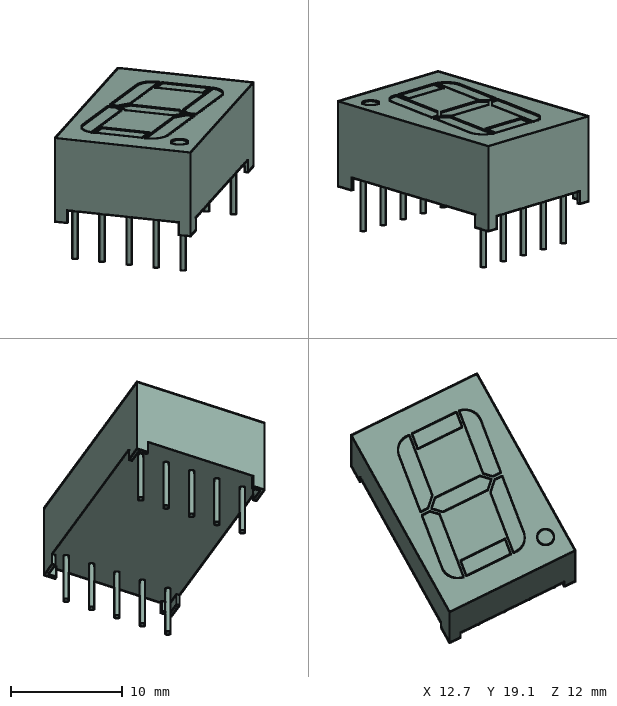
import cadquery as cq
import math

CASE_WIDTH = 12.7
CASE_LENGTH = 19.05
CASE_HEIGHT = 8.0
FOOT_HEIGHT = 1.2
FOOT_WIDTH = 1.1
FOOT_LENGTH = 1.7
FOOT_WALL = 0.3

TOTAL_HEIGHT = 12.0
PIN_DIAMETER = 0.5
PIN_PITCH = 2.53
PINS_PER_ROW = 5
ROW_SPACING = 15.24

RECESS_DEPTH = 0.1
DIGIT_CENTER_X = -0.2
DIGIT_HEIGHT = 14.29
DIGIT_WIDTH = 8.12
LEAN = math.tan(math.radians(7.8))
CORNER_RADIUS = 1.5
BAR_THICKNESS = 1.52
SIDE_WIDTH = 1.55
UPRIGHT_GAP = 0.27
SPLIT_GAP = 0.35
MIDDLE_BAR_LENGTH = 6.05
TIP_GAP = 0.42

POINT_DIAMETER = 1.5
POINT_X = 4.6

half_height = DIGIT_HEIGHT / 2
half_width = DIGIT_WIDTH / 2
side_inner = half_width - SIDE_WIDTH
underside_z = FOOT_HEIGHT - CASE_HEIGHT


def leaning(offset, y):
    """Point at height y on the slanted line that crosses the digit's middle at offset."""
    return (offset + LEAN * y, y)


def prism(points):
    """Extrude a digit outline from the recess floor up to the top face."""
    return (
        cq.Workplane("XY", origin=(DIGIT_CENTER_X, 0, -RECESS_DEPTH))
        .polyline(points)
        .close()
        .extrude(RECESS_DEPTH)
    )


def make_case():
    block = cq.Workplane("XY").box(
        CASE_WIDTH, CASE_LENGTH, CASE_HEIGHT, centered=(True, True, False)
    ).translate((0, 0, -CASE_HEIGHT))
    clearances = (
        (CASE_WIDTH, CASE_LENGTH - 2 * FOOT_LENGTH),
        (CASE_WIDTH - 2 * FOOT_WIDTH, CASE_LENGTH),
        (CASE_WIDTH - 2 * FOOT_WALL, CASE_LENGTH - 2 * FOOT_WALL),
    )
    for width, length in clearances:
        clearance = cq.Workplane("XY", origin=(0, 0, -CASE_HEIGHT)).rect(width, length)
        block = block.cut(clearance.extrude(FOOT_HEIGHT))
    return block


def make_pins():
    return (
        cq.Workplane("XY", origin=(0, 0, underside_z))
        .rarray(PIN_PITCH, ROW_SPACING, PINS_PER_ROW, 2)
        .circle(PIN_DIAMETER / 2)
        .extrude(-(TOTAL_HEIGHT + underside_z))
    )


def make_end_bar(end):
    """Bar along the top (end = 1) or the bottom (end = -1) of the digit."""
    half_length = side_inner - UPRIGHT_GAP
    outer_y = end * half_height
    inner_y = end * (half_height - BAR_THICKNESS)
    return prism([
        leaning(-half_length, outer_y),
        leaning(half_length, outer_y),
        leaning(half_length, inner_y),
        leaning(-half_length, inner_y),
    ])


def make_middle_bar():
    """Hexagon with 45 degree points at both ends."""
    tip_x = MIDDLE_BAR_LENGTH / 2
    edge_y = BAR_THICKNESS / 2
    shoulder_x = tip_x - edge_y
    return prism([
        (-tip_x, 0),
        (-shoulder_x, edge_y),
        (shoulder_x, edge_y),
        (tip_x, 0),
        (shoulder_x, -edge_y),
        (-shoulder_x, -edge_y),
    ])


def make_side_segment(side, end, digit_outline):
    """Side segment: side is -1 left or 1 right, end is 1 upper or -1 lower."""
    split_y = SPLIT_GAP / 2
    diagonal_reach = MIDDLE_BAR_LENGTH / 2 + TIP_GAP
    knee_y = (diagonal_reach - side_inner) / (1 + side * end * LEAN)
    segment = prism([
        leaning(side * half_width, end * half_height),
        leaning(side * side_inner, end * half_height),
        leaning(side * side_inner, end * knee_y),
        (side * (diagonal_reach - split_y), end * split_y),
        leaning(side * half_width, end * split_y),
    ])
    return segment.intersect(digit_outline)


def make_digit_segments():
    digit_outline = prism([
        leaning(-half_width, -half_height),
        leaning(half_width, -half_height),
        leaning(half_width, half_height),
        leaning(-half_width, half_height),
    ]).edges("|Z").fillet(CORNER_RADIUS)
    segments = [make_middle_bar()]
    for end in (-1, 1):
        segments.append(make_end_bar(end))
        for side in (-1, 1):
            segments.append(make_side_segment(side, end, digit_outline))
    return segments


def make_decimal_point():
    return (
        cq.Workplane("XY", origin=(POINT_X, -half_height, -RECESS_DEPTH))
        .circle(POINT_DIAMETER / 2)
        .extrude(RECESS_DEPTH)
    )


result = make_case().union(make_pins())
for recess in make_digit_segments() + [make_decimal_point()]:
    result = result.cut(recess)